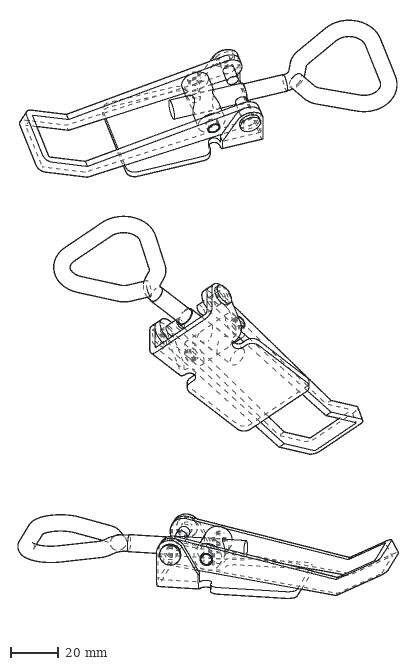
import cadquery as cq
import math

sheet = 3.0
handle_width = 30.1
base_width = 36.1
handle_gap = handle_width - 2 * sheet
ear_gap = base_width - 2 * sheet

pivot_y = 12.7
pivot_z = 15.9
pivot_round = 6.0

bend_inner = 1.0
bend_outer = bend_inner + sheet
base_back = pivot_y + pivot_round
ear_front = 0.8
ear_step = 7.3
pad_width = 40.1
pad_back = -4.1
pad_front = -41.4
pad_corner = 4.0

rivet_diameter = 5.0
rivet_head_diameter = 8.9
rivet_head_height = 1.5
rivet_inner_x = 5.9

knee_y = -58.0
knee_low_z = 1.0
knee_high_z = 8.1
hook_angle = 28
tip_y = -79.6
handle_corner = 3.5
handle_corner_inner = handle_corner - sheet

trunnion_y = -2.0
trunnion_z = 13.5
trunnion_diameter = 12.0
trunnion_length = 23.5
journal_diameter = 4.5
journal_hole_diameter = 5.4
rod_hole_diameter = 8.6

wire_diameter = 7.0
stem_diameter = 7.3
thread_diameter = 8.3
thread_back = 16.0
thread_front = -16.0
loop_back = 79.6
bar_half = 10.7
loop_corner = 10.5
side_angle = 60
side_length = 17.5
neck_angle = 25
small_bend = 7.2


def tangent_point(y, z, side):
    """Point where a line from (y, z) touches the pivot round; side +1 is above, -1 below."""
    toward = math.atan2(z - pivot_z, y - pivot_y)
    spread = math.acos(pivot_round / math.hypot(y - pivot_y, z - pivot_z))
    angle = toward - side * spread
    return pivot_y + pivot_round * math.cos(angle), pivot_z + pivot_round * math.sin(angle)


def x_cylinder(diameter, x_start, x_end, y, z):
    return (
        cq.Workplane("YZ", origin=(x_start, 0, 0))
        .center(y, z)
        .circle(diameter / 2)
        .extrude(x_end - x_start)
    )


def y_cylinder(diameter, y_start, y_end, z):
    return (
        cq.Workplane("XZ", origin=(0, y_end, z))
        .circle(diameter / 2)
        .extrude(y_end - y_start)
    )


def make_base():
    depth = base_back - ear_front
    height = pivot_z + pivot_round
    channel = (
        cq.Workplane("XY")
        .box(base_width, depth, height, centered=(True, False, False))
        .edges("|Y and <Z")
        .fillet(bend_outer)
    )
    trough = (
        cq.Workplane("XY", origin=(0, 0, sheet))
        .box(ear_gap, depth, height, centered=(True, False, False))
        .edges("|Y and <Z")
        .fillet(bend_inner)
    )
    channel = channel.cut(trough).translate((0, ear_front, 0))
    ear_outline = (
        cq.Workplane("YZ")
        .moveTo(ear_front, 0)
        .lineTo(base_back, 0)
        .lineTo(base_back, pivot_z)
        .threePointArc((pivot_y, pivot_z + pivot_round), tangent_point(ear_front, ear_step, 1))
        .lineTo(ear_front, ear_step)
        .close()
        .extrude(base_width / 2, both=True)
    )
    channel = channel.intersect(ear_outline)

    pad = (
        cq.Workplane("XY")
        .box(pad_width, pad_back - pad_front, sheet, centered=(True, False, False))
        .translate((0, pad_front, 0))
        .edges("|Z")
        .fillet(pad_corner)
    )
    slot_x = base_width / 2 - bend_outer
    slot_y = (ear_front + pad_back) / 2
    slot_radius = (ear_front - pad_back) / 2
    web = (
        cq.Workplane("XY")
        .moveTo(-slot_x, pad_back)
        .lineTo(slot_x, pad_back)
        .threePointArc((slot_x - slot_radius, slot_y), (slot_x, ear_front))
        .lineTo(-slot_x, ear_front)
        .threePointArc((slot_radius - slot_x, slot_y), (-slot_x, pad_back))
        .close()
        .extrude(sheet)
    )
    base = channel.union(web).union(pad)
    return base.cut(x_cylinder(rivet_diameter, -base_width, base_width, pivot_y, pivot_z))


def make_handle():
    angle = math.radians(hook_angle)
    across = (math.sin(angle), math.cos(angle))
    hook_width = (knee_high_z - knee_low_z) * across[1]
    tip_low = (tip_y, knee_low_z + (knee_y - tip_y) * math.tan(angle))
    tip_high = (tip_low[0] + hook_width * across[0], tip_low[1] + hook_width * across[1])
    blank = (
        cq.Workplane("YZ")
        .moveTo(*tangent_point(knee_y, knee_high_z, 1))
        .threePointArc((pivot_y + pivot_round, pivot_z), tangent_point(knee_y, knee_low_z, -1))
        .lineTo(knee_y, knee_low_z)
        .lineTo(*tip_low)
        .lineTo(*tip_high)
        .lineTo(knee_y, knee_high_z)
        .close()
        .extrude(handle_width / 2, both=True)
    )
    tip_edges = cq.selectors.ParallelDirSelector(cq.Vector(0, *across))
    blank = blank.edges(tip_edges).fillet(handle_corner)

    reach = 2 * (pivot_y - tip_y)
    hook = cq.Plane((0, *tip_low), (1, 0, 0), (0, *across))
    opening = (
        cq.Workplane(hook)
        .center(0, sheet + reach / 2)
        .rect(handle_gap, reach)
        .extrude(reach, both=True)
        .edges(tip_edges)
        .fillet(handle_corner_inner)
    )
    pivot_hole = x_cylinder(rivet_diameter, -handle_width, handle_width, pivot_y, pivot_z)
    journal_hole = x_cylinder(
        journal_hole_diameter, -handle_width, handle_width, trunnion_y, trunnion_z
    )
    return blank.cut(opening).cut(pivot_hole).cut(journal_hole)


def make_rivet(side):
    ear_face = base_width / 2
    shank = x_cylinder(rivet_diameter, rivet_inner_x, ear_face, pivot_y, pivot_z)
    head = x_cylinder(rivet_head_diameter, ear_face, ear_face + rivet_head_height, pivot_y, pivot_z)
    rivet = shank.union(head)
    return rivet if side > 0 else rivet.mirror("YZ")


def make_trunnion():
    bar = x_cylinder(
        trunnion_diameter, -trunnion_length / 2, trunnion_length / 2, trunnion_y, trunnion_z
    )
    journals = x_cylinder(
        journal_diameter, -handle_width / 2, handle_width / 2, trunnion_y, trunnion_z
    )
    rod_hole = y_cylinder(rod_hole_diameter, thread_front, thread_back, trunnion_z)
    return bar.union(journals).cut(rod_hole)


def on_circle(center, radius, degrees):
    """Point at the given distance from the center; a negative distance goes the opposite way."""
    angle = math.radians(degrees)
    return center[0] + radius * math.cos(angle), center[1] + radius * math.sin(angle)


def mirrored(point):
    return -point[0], point[1]


def make_loop():
    bar_y = loop_back - wire_diameter / 2
    corner = (bar_half, bar_y - loop_corner)
    corner_mid = on_circle(corner, loop_corner, side_angle / 2)
    corner_end = on_circle(corner, loop_corner, side_angle - 90)
    side_end = on_circle(corner_end, -side_length, side_angle)
    bend = on_circle(side_end, small_bend, side_angle + 90)
    bend_mid = on_circle(bend, small_bend, (side_angle + neck_angle) / 2 - 90)
    bend_end = on_circle(bend, small_bend, neck_angle - 90)
    neck_slope = math.tan(math.radians(neck_angle))
    meeting = (0, bend_end[1] - bend_end[0] * neck_slope)
    stem_bend_x = small_bend * (1 - math.sin(math.radians(neck_angle)))
    stem_bend_start = (stem_bend_x, meeting[1] + stem_bend_x * neck_slope)
    stem_bend = on_circle(stem_bend_start, -small_bend, neck_angle + 90)
    stem_bend_mid = on_circle(stem_bend, small_bend, (180 + neck_angle + 90) / 2)
    stem_top = (0, stem_bend[1])

    path = (
        cq.Workplane("XY", origin=(0, 0, trunnion_z))
        .moveTo(*stem_top)
        .threePointArc(mirrored(stem_bend_mid), mirrored(stem_bend_start))
        .lineTo(*mirrored(bend_end))
        .threePointArc(mirrored(bend_mid), mirrored(side_end))
        .lineTo(*mirrored(corner_end))
        .threePointArc(mirrored(corner_mid), (-bar_half, bar_y))
        .lineTo(bar_half, bar_y)
        .threePointArc(corner_mid, corner_end)
        .lineTo(*side_end)
        .threePointArc(bend_mid, bend_end)
        .lineTo(*meeting)
    )
    wire = (
        cq.Workplane("XZ", origin=(0, stem_top[1], trunnion_z))
        .circle(wire_diameter / 2)
        .sweep(path)
    )
    stem = y_cylinder(stem_diameter, thread_back, stem_top[1], trunnion_z)
    thread = y_cylinder(thread_diameter, thread_front, thread_back, trunnion_z)
    return wire.union(stem).union(thread)


base = make_base()
handle = make_handle()
rivets = [make_rivet(side) for side in (-1, 1)]
trunnion = make_trunnion()
loop = make_loop()

result = cq.Compound.makeCompound(
    [base.val(), handle.val(), *[rivet.val() for rivet in rivets], trunnion.val(), loop.val()]
)